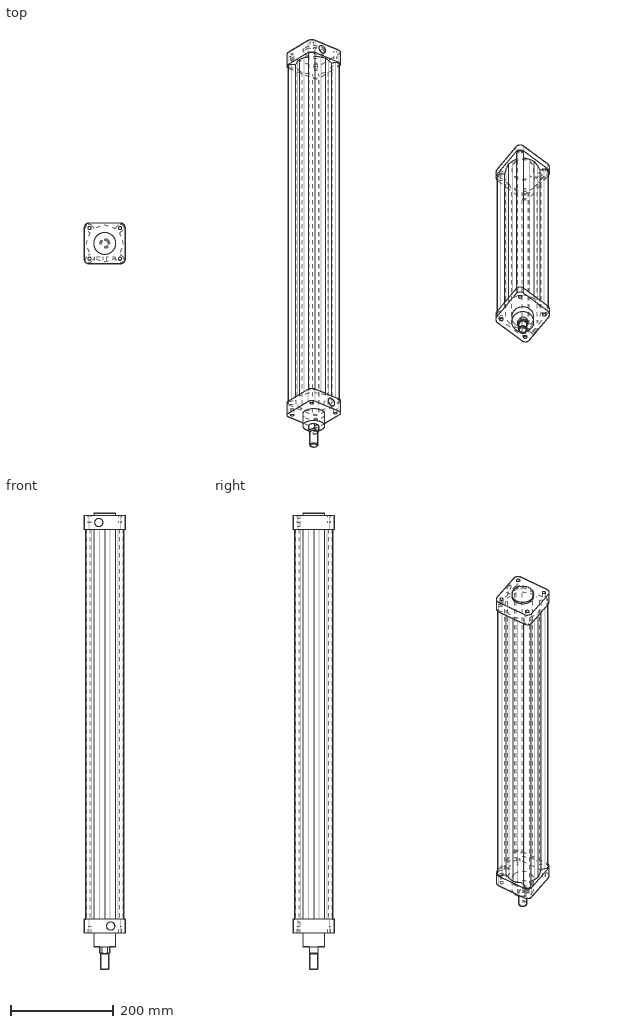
import cadquery as cq
import math

TOTAL_HEIGHT = 891.0
THREAD_LENGTH = 30.0
BOSS_BOTTOM = 44.5
BOSS_HEIGHT = 27.0
CAP_HEIGHT = 28.0
RIM_HEIGHT = 4.5
FRONT_CAP_BOTTOM = BOSS_BOTTOM + BOSS_HEIGHT
FRONT_CAP_TOP = FRONT_CAP_BOTTOM + CAP_HEIGHT
REAR_CAP_TOP = TOTAL_HEIGHT - RIM_HEIGHT
REAR_CAP_BOTTOM = REAR_CAP_TOP - CAP_HEIGHT

CAP_WIDTH = 80.0
CAP_CORNER_RADIUS = 10.0
BOSS_DIAMETER = 43.0
PORT_DIAMETER = 16.0
PORT_DEPTH = 13.0
PORT_OFFSET = 12.0
SCREW_HOLE_DIAMETER = 6.0
SCREW_HOLE_DEPTH = 13.0
SCREW_SPACING = 60.0

BARREL_WIDTH = 75.0
LOBE_RADIUS = 6.7
LOBE_CENTRE = BARREL_WIDTH / 2 - LOBE_RADIUS
LOBE_FLANK_ANGLE = 50.0
RIDGE_ANGLE = 14.0
SHOULDER_ANGLE = 23.0
RIDGE_HALF_WIDTH = 10.0
VALLEY_OFFSET = 20.5

ROD_DIAMETER = 20.0
ROD_CHAMFER = 3.0
FLATS_WIDTH = 17.0
THREAD_DIAMETER = 16.0
THREAD_CHAMFER = 2.0


def slope(angle):
    """Rise per unit of run of a face tilted by the angle in degrees."""
    return math.tan(math.radians(angle))


def rotated(point, quarter_turns):
    """Turn a point about the origin by a number of quarter turns."""
    x, y = point
    for _ in range(quarter_turns):
        x, y = -y, x
    return x, y


def make_barrel():
    flank = math.radians(LOBE_FLANK_ANGLE)
    tangent_x = LOBE_CENTRE - LOBE_RADIUS * math.sin(flank)
    tangent_y = LOBE_CENTRE + LOBE_RADIUS * math.cos(flank)
    valley_y = tangent_y - (tangent_x - VALLEY_OFFSET) * slope(LOBE_FLANK_ANGLE)
    shoulder_y = valley_y + (VALLEY_OFFSET - RIDGE_HALF_WIDTH) * slope(SHOULDER_ANGLE)
    ridge_y = shoulder_y + RIDGE_HALF_WIDTH * slope(RIDGE_ANGLE)
    lobe_tip = LOBE_CENTRE + LOBE_RADIUS * math.sqrt(0.5)

    outline = cq.Workplane("XY").workplane(offset=FRONT_CAP_TOP).moveTo(ridge_y, 0)
    for turn in range(4):
        outline = outline.lineTo(*rotated((shoulder_y, RIDGE_HALF_WIDTH), turn))
        outline = outline.lineTo(*rotated((valley_y, VALLEY_OFFSET), turn))
        outline = outline.lineTo(*rotated((tangent_y, tangent_x), turn))
        outline = outline.threePointArc(
            rotated((lobe_tip, lobe_tip), turn),
            rotated((tangent_x, tangent_y), turn),
        )
        outline = outline.lineTo(*rotated((VALLEY_OFFSET, valley_y), turn))
        outline = outline.lineTo(*rotated((RIDGE_HALF_WIDTH, shoulder_y), turn))
        if turn < 3:
            outline = outline.lineTo(*rotated((0, ridge_y), turn))
    return outline.close().extrude(REAR_CAP_BOTTOM - FRONT_CAP_TOP)


def make_cap(bottom, outward, boss_height, port_x):
    """Square end cap with a round boss and screw holes on its outer face and a port on its -Y side.

    outward is +1 when the outer face looks up and -1 when it looks down.
    """
    outer_face = bottom + CAP_HEIGHT if outward > 0 else bottom
    block = (
        cq.Workplane("XY").workplane(offset=bottom)
        .rect(CAP_WIDTH, CAP_WIDTH)
        .extrude(CAP_HEIGHT)
        .edges("|Z").fillet(CAP_CORNER_RADIUS)
    )
    boss = (
        cq.Workplane("XY").workplane(offset=outer_face)
        .circle(BOSS_DIAMETER / 2)
        .extrude(outward * boss_height)
    )
    screw_holes = (
        cq.Workplane("XY").workplane(offset=outer_face)
        .rect(SCREW_SPACING, SCREW_SPACING, forConstruction=True).vertices()
        .circle(SCREW_HOLE_DIAMETER / 2)
        .extrude(-outward * SCREW_HOLE_DEPTH)
    )
    port = (
        cq.Workplane("XZ", origin=(port_x, -CAP_WIDTH / 2, bottom + CAP_HEIGHT / 2))
        .circle(PORT_DIAMETER / 2)
        .extrude(-PORT_DEPTH)
    )
    return block.union(boss).cut(screw_holes).cut(port)


def make_rod():
    """Rod end below the front boss: a collar with two wrench flats, then the threaded stud."""
    collar_length = BOSS_BOTTOM - THREAD_LENGTH
    collar = (
        cq.Workplane("XY").workplane(offset=THREAD_LENGTH)
        .circle(ROD_DIAMETER / 2)
        .extrude(collar_length)
        .faces("<Z").chamfer(ROD_CHAMFER)
    )
    flats = (
        cq.Workplane("XY").workplane(offset=THREAD_LENGTH)
        .rect(ROD_DIAMETER, FLATS_WIDTH)
        .extrude(collar_length)
    )
    stud = (
        cq.Workplane("XY")
        .circle(THREAD_DIAMETER / 2)
        .extrude(THREAD_LENGTH)
        .faces("<Z").chamfer(THREAD_CHAMFER)
    )
    return collar.intersect(flats).union(stud)


barrel = make_barrel()
front_cap = make_cap(FRONT_CAP_BOTTOM, -1, BOSS_HEIGHT, PORT_OFFSET)
rear_cap = make_cap(REAR_CAP_BOTTOM, 1, RIM_HEIGHT, -PORT_OFFSET)
rod = make_rod()

result = cq.Compound.makeCompound([barrel.val(), front_cap.val(), rear_cap.val(), rod.val()])